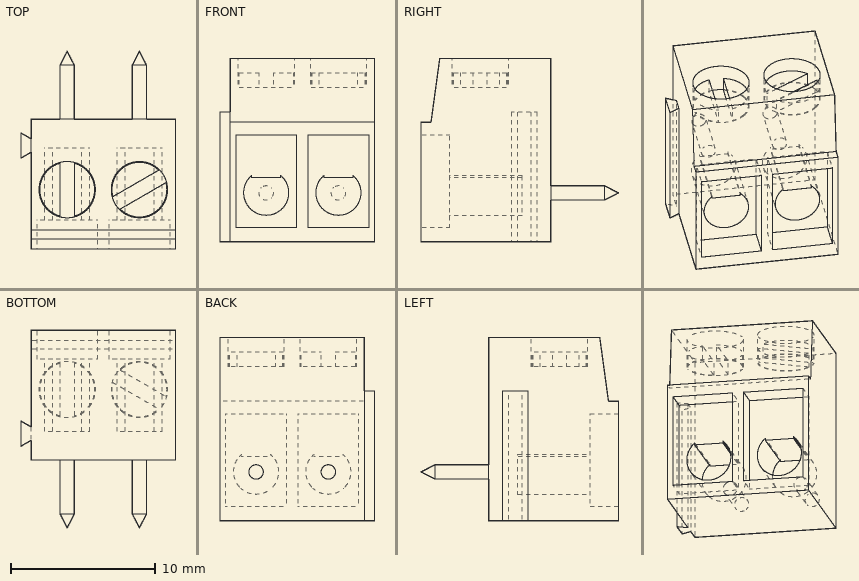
import cadquery as cq

OVERALL_DEPTH = 13.7
PITCH = 5.0
POLE_COUNT = 2
BODY_WIDTH = PITCH * POLE_COUNT
BODY_DEPTH = 9.0
BODY_HEIGHT = 12.7
LEDGE_HEIGHT = 8.29
LEDGE_DEPTH = 0.7
TOP_SETBACK = 1.3
POLE_CENTERS = [PITCH * (i + 0.5) for i in range(POLE_COUNT)]

RAIL_REACH = 0.7
RAIL_OUTER_WIDTH = 1.75
RAIL_ROOT_WIDTH = 0.95
RAIL_HEIGHT = 9.0
RAIL_CENTER_Y = 7.17

POCKET_WIDTH = 4.2
POCKET_BOTTOM = 0.99
POCKET_TOP = 7.41
POCKET_DEPTH = 2.0
WIRE_HOLE_DIAMETER = 3.12
WIRE_HOLE_CENTER_Z = 3.4
WIRE_HOLE_DEPTH = 5.0
CLAMP_WIDTH = 2.0
CLAMP_BOTTOM = 4.47

SCREW_CENTER_Y = 4.11
SCREW_HOLE_DIAMETER = 3.9
SCREW_DIAMETER = 3.8
SCREW_RECESS = 1.0
SLOT_WIDTH = 1.0
SLOT_DEPTH = 1.0
SLOT_ANGLES = [90, 30]

PIN_DIAMETER = 1.0
PIN_LENGTH = OVERALL_DEPTH - BODY_DEPTH
PIN_TIP_LENGTH = 0.97
PIN_CENTER_Z = 3.38


def make_body():
    profile = [
        (0, 0),
        (BODY_DEPTH, 0),
        (BODY_DEPTH, BODY_HEIGHT),
        (TOP_SETBACK, BODY_HEIGHT),
        (LEDGE_DEPTH, LEDGE_HEIGHT),
        (0, LEDGE_HEIGHT),
    ]
    return cq.Workplane("YZ").polyline(profile).close().extrude(BODY_WIDTH)


def make_rail():
    profile = [
        (0, RAIL_CENTER_Y - RAIL_ROOT_WIDTH / 2),
        (0, RAIL_CENTER_Y + RAIL_ROOT_WIDTH / 2),
        (-RAIL_REACH, RAIL_CENTER_Y + RAIL_OUTER_WIDTH / 2),
        (-RAIL_REACH, RAIL_CENTER_Y - RAIL_OUTER_WIDTH / 2),
    ]
    return cq.Workplane("XY").polyline(profile).close().extrude(RAIL_HEIGHT)


def make_wire_entry(x):
    """Rectangular pocket and the wire hole behind it, closed at the top by the clamp."""
    pocket = cq.Workplane("XY").box(
        POCKET_WIDTH, POCKET_DEPTH, POCKET_TOP - POCKET_BOTTOM, centered=(True, False, False)
    ).translate((x, 0, POCKET_BOTTOM))
    hole = (
        cq.Workplane("XZ", origin=(x, POCKET_DEPTH, WIRE_HOLE_CENTER_Z))
        .circle(WIRE_HOLE_DIAMETER / 2)
        .extrude(-WIRE_HOLE_DEPTH)
    )
    clamp = cq.Workplane("XY").box(
        CLAMP_WIDTH, WIRE_HOLE_DEPTH, WIRE_HOLE_DIAMETER, centered=(True, False, False)
    ).translate((x, POCKET_DEPTH, CLAMP_BOTTOM))
    return pocket.union(hole.cut(clamp))


def make_screw_recess(x, slot_angle):
    """Space above the screw head, the thin gap around it and its driver slot."""
    opening_depth = SCREW_RECESS + SLOT_DEPTH
    opening = (
        cq.Workplane("XY", origin=(x, SCREW_CENTER_Y, BODY_HEIGHT - opening_depth))
        .circle(SCREW_HOLE_DIAMETER / 2)
        .extrude(opening_depth)
    )
    slot = (
        cq.Workplane("XY")
        .box(SCREW_HOLE_DIAMETER, SLOT_WIDTH, SLOT_DEPTH, centered=(True, True, False))
        .rotate((0, 0, 0), (0, 0, 1), slot_angle)
        .translate((x, SCREW_CENTER_Y, BODY_HEIGHT - opening_depth))
    )
    head = (
        cq.Workplane("XY", origin=(x, SCREW_CENTER_Y, BODY_HEIGHT - opening_depth))
        .circle(SCREW_DIAMETER / 2)
        .extrude(SLOT_DEPTH)
        .cut(slot)
    )
    return opening.cut(head)


def make_pin(x):
    """Round pin with a conical point, starting on the back face."""
    radius = PIN_DIAMETER / 2
    profile = [
        (0, 0),
        (radius, 0),
        (radius, PIN_LENGTH - PIN_TIP_LENGTH),
        (0, PIN_LENGTH),
    ]
    pin = cq.Workplane("XY").polyline(profile).close().revolve(360, (0, 0, 0), (0, 1, 0))
    return pin.translate((x, BODY_DEPTH, PIN_CENTER_Z))


result = make_body().union(make_rail())
for pole_x, angle in zip(POLE_CENTERS, SLOT_ANGLES):
    result = result.cut(make_wire_entry(pole_x))
    result = result.cut(make_screw_recess(pole_x, angle))
    result = result.union(make_pin(pole_x))